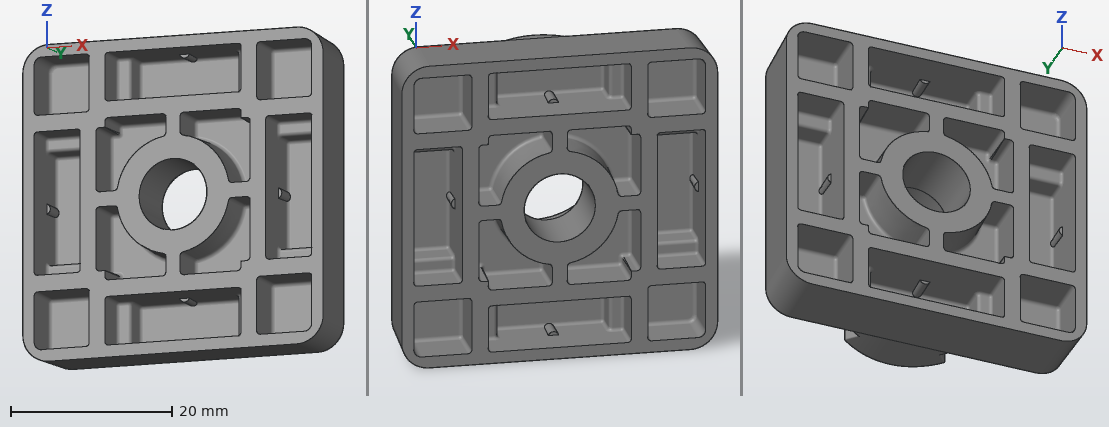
import cadquery as cq
import math

BASE_SIDE = 40.0
BASE_DEPTH = 8.0
BASE_CORNER_RADIUS = 3.5
DRAFT_ANGLE = 2.0
BASE_BACK_FILLET = 0.25

OUTER_WALL_INSIDE = 18.47
CORNER_POCKET_INSIDE = 11.14
SIDE_POCKET_INSIDE = 12.34
SIDE_POCKET_HALF_LENGTH = 9.05
CENTRE_POCKET_OUTSIDE = 10.25
SPOKE_HALF_WIDTH = 0.95
RING_RADIUS = 7.5

POCKET_DEPTH = 5.0
LEDGE_DEPTH = 4.0
SIDE_POCKET_DEPTH = 7.0
LEDGE_INSIDE = 7.1
POCKET_FILLET = 0.5
SIDE_POCKET_FILLET = 0.45
OUTER_UPRIGHT_FILLET = 1.0

CRUSH_RIB_RADIUS = 0.7
CRUSH_RIB_SINK = 0.1
CRUSH_RIB_START = 4.0

TOTAL_DEPTH = 16.31
BOSS_HALF_LENGTH = 17.0
BOSS_END_RADIUS = 28.0
BOSS_FOOT_HALF_WIDTH = 10.41
SHOULDER_RADIUS = 11.88
NOTCH_HALF_WIDTH = 5.53
NOTCH_Y = 12.79
LIP_HALF_WIDTH = 6.75
LIP_Y = 14.47
BOSS_EDGE_FILLET = 0.2

BORE_RADIUS = 4.5
COUNTERBORE_RADIUS = 7.5
COUNTERBORE_FLOOR_Y = BASE_DEPTH

SELECT_MARGIN = 0.05

QUARTER_TURNS = (0, 90, 180, 270)


def depth_plane(y=0.0):
    """Sketch plane at the given y whose normal points to +Y (local y is -Z)."""
    return cq.Workplane(cq.Plane(origin=(0, y, 0), xDir=(1, 0, 0), normal=(0, 1, 0)))


def make_base():
    back_side = BASE_SIDE - 2 * BASE_DEPTH * math.tan(math.radians(DRAFT_ANGLE))
    front = cq.Sketch().rect(BASE_SIDE, BASE_SIDE).vertices().fillet(BASE_CORNER_RADIUS)
    back = cq.Sketch().rect(back_side, back_side).vertices().fillet(BASE_CORNER_RADIUS)
    base = depth_plane().placeSketch(front, back.moved(cq.Location((0, 0, BASE_DEPTH)))).loft()
    return base.faces(">Y").edges().fillet(BASE_BACK_FILLET)


def sunk_rectangle(length, width, z_centre, x_centre, depth):
    """Drafted rectangular plug from the front face to the given depth."""
    sketch = depth_plane().center(x_centre, -z_centre).rect(length, width)
    return sketch.extrude(depth, taper=DRAFT_ANGLE)


def make_corner_pocket():
    side = OUTER_WALL_INSIDE - CORNER_POCKET_INSIDE
    middle = (OUTER_WALL_INSIDE + CORNER_POCKET_INSIDE) / 2
    pocket = sunk_rectangle(side, side, middle, middle, POCKET_DEPTH)
    inner, outer = CORNER_POCKET_INSIDE, OUTER_WALL_INSIDE
    for x, z, radius in (
        (outer, outer, OUTER_UPRIGHT_FILLET),
        (inner, inner, POCKET_FILLET),
        (inner, outer, POCKET_FILLET),
        (outer, inner, POCKET_FILLET),
    ):
        upright = cq.selectors.NearestToPointSelector((x, POCKET_DEPTH / 2, z))
        pocket = pocket.edges(upright).fillet(radius)
    return pocket.faces(">Y").edges().fillet(POCKET_FILLET)


def make_side_pocket():
    """Long pocket with a deep well between two shallow end ledges."""
    width = OUTER_WALL_INSIDE - SIDE_POCKET_INSIDE
    middle = (OUTER_WALL_INSIDE + SIDE_POCKET_INSIDE) / 2
    well_half_length = LEDGE_INSIDE + LEDGE_DEPTH * math.tan(math.radians(DRAFT_ANGLE))
    pocket = sunk_rectangle(2 * SIDE_POCKET_HALF_LENGTH, width, middle, 0, LEDGE_DEPTH)
    pocket = pocket.union(sunk_rectangle(2 * well_half_length, width, middle, 0, SIDE_POCKET_DEPTH))
    pocket = pocket.edges("not(<Y)").fillet(SIDE_POCKET_FILLET)

    for wall_z, outward in ((SIDE_POCKET_INSIDE, -1), (OUTER_WALL_INSIDE, 1)):
        rib_z = wall_z + outward * CRUSH_RIB_SINK
        rib = (
            depth_plane(CRUSH_RIB_START)
            .center(0, -rib_z)
            .circle(CRUSH_RIB_RADIUS)
            .extrude(SIDE_POCKET_DEPTH - CRUSH_RIB_START)
        )
        pocket = pocket.cut(rib)
    return pocket


def make_centre_pocket():
    """Pocket between two spokes and the bore ring, with a square post in its outer corner."""
    side_reach = math.sqrt(RING_RADIUS**2 - SPOKE_HALF_WIDTH**2)
    mid_arc = RING_RADIUS / math.sqrt(2)
    outer = CENTRE_POCKET_OUTSIDE
    post = SIDE_POCKET_HALF_LENGTH
    pocket = (
        depth_plane()
        .moveTo(side_reach, -SPOKE_HALF_WIDTH)
        .lineTo(outer, -SPOKE_HALF_WIDTH)
        .lineTo(outer, -post)
        .lineTo(post, -post)
        .lineTo(post, -outer)
        .lineTo(SPOKE_HALF_WIDTH, -outer)
        .lineTo(SPOKE_HALF_WIDTH, -side_reach)
        .threePointArc((mid_arc, -mid_arc), (side_reach, -SPOKE_HALF_WIDTH))
        .close()
        .extrude(POCKET_DEPTH, taper=DRAFT_ANGLE)
    )
    return pocket.edges("not(<Y)").fillet(POCKET_FILLET)


def shoulder_arc_middle():
    """Point halfway along the right shoulder arc, from the boss foot to the notch."""
    chord_x = NOTCH_HALF_WIDTH - BOSS_FOOT_HALF_WIDTH
    chord_y = NOTCH_Y - BASE_DEPTH
    chord = math.hypot(chord_x, chord_y)
    sagitta = SHOULDER_RADIUS - math.sqrt(SHOULDER_RADIUS**2 - (chord / 2) ** 2)
    x = (NOTCH_HALF_WIDTH + BOSS_FOOT_HALF_WIDTH) / 2 + sagitta * chord_y / chord
    y = (NOTCH_Y + BASE_DEPTH) / 2 - sagitta * chord_x / chord
    return x, y


def make_boss():
    shoulder_x, shoulder_y = shoulder_arc_middle()
    bar = (
        cq.Workplane("XY", origin=(0, 0, -BOSS_HALF_LENGTH))
        .moveTo(-BOSS_FOOT_HALF_WIDTH, BASE_DEPTH)
        .lineTo(BOSS_FOOT_HALF_WIDTH, BASE_DEPTH)
        .threePointArc((shoulder_x, shoulder_y), (NOTCH_HALF_WIDTH, NOTCH_Y))
        .lineTo(LIP_HALF_WIDTH, LIP_Y)
        .threePointArc((0, TOTAL_DEPTH), (-LIP_HALF_WIDTH, LIP_Y))
        .lineTo(-NOTCH_HALF_WIDTH, NOTCH_Y)
        .threePointArc((-shoulder_x, shoulder_y), (-BOSS_FOOT_HALF_WIDTH, BASE_DEPTH))
        .close()
        .extrude(2 * BOSS_HALF_LENGTH)
    )
    lips = cq.selectors.BoxSelector(
        (-LIP_HALF_WIDTH - SELECT_MARGIN, LIP_Y - SELECT_MARGIN, -BOSS_HALF_LENGTH),
        (LIP_HALF_WIDTH + SELECT_MARGIN, LIP_Y + SELECT_MARGIN, BOSS_HALF_LENGTH),
    )
    boss = bar.edges("|Z").edges(lips).fillet(BOSS_EDGE_FILLET)

    end_offset = BOSS_END_RADIUS - BOSS_HALF_LENGTH
    for z in (-end_offset, end_offset):
        end_cylinder = depth_plane(BASE_DEPTH).center(0, z).circle(BOSS_END_RADIUS)
        boss = boss.intersect(end_cylinder.extrude(TOTAL_DEPTH - BASE_DEPTH))
    return boss.faces(">Z or <Z").edges("not(<Y)").fillet(BOSS_EDGE_FILLET)


def join_boss(base, boss):
    """Unite base and boss and round the inside edge around the boss foot."""
    reach_x = BOSS_FOOT_HALF_WIDTH + SELECT_MARGIN
    reach_z = BOSS_HALF_LENGTH + SELECT_MARGIN
    foot = cq.selectors.BoxSelector(
        (-reach_x, BASE_DEPTH - SELECT_MARGIN, -reach_z),
        (reach_x, BASE_DEPTH + SELECT_MARGIN, reach_z),
    )
    return base.union(boss).edges(foot).fillet(BOSS_EDGE_FILLET)


def make_bolt_passage():
    """Through bore that widens to a counterbore splitting the boss in two."""
    bore = depth_plane().circle(BORE_RADIUS).extrude(TOTAL_DEPTH)
    counterbore_depth = TOTAL_DEPTH - COUNTERBORE_FLOOR_Y
    counterbore = depth_plane(COUNTERBORE_FLOOR_Y).circle(COUNTERBORE_RADIUS).extrude(counterbore_depth)
    return bore.union(counterbore)


result = join_boss(make_base(), make_boss())
for pocket in (make_corner_pocket(), make_side_pocket(), make_centre_pocket()):
    for angle in QUARTER_TURNS:
        result = result.cut(pocket.rotate((0, 0, 0), (0, 1, 0), angle))
result = result.cut(make_bolt_passage())